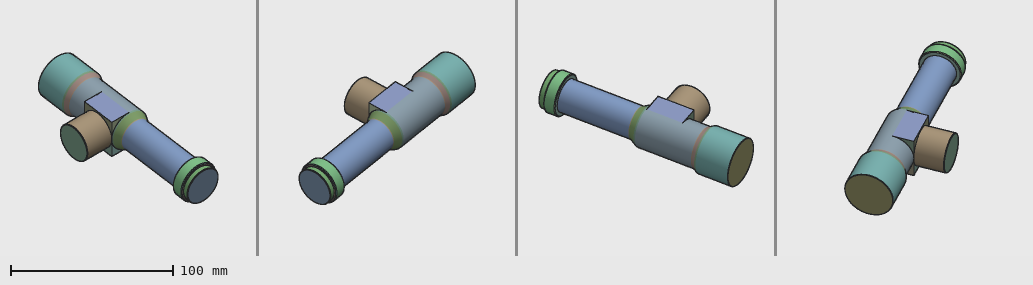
import cadquery as cq

total_length = 136.6

socket_radius = 16.0
body_radius = 14.1
tube_radius = 11.0
collar_radius = body_radius
end_ring_radius = 12.7

socket_end = 23.5
socket_taper_end = 26.9
body_end = 67.8
body_taper_end = 73.2
collar_start = 124.3
collar_end = 132.5

socket_face_chamfer = 0.3
outer_blend_radius = 2.5
inner_blend_radius = 1.1
collar_chamfer = 0.5
end_ring_chamfer = 0.4

selection_margin = 0.1

branch_diameter = 25.7
branch_center_x = 54.2
branch_reach = 34.0
branch_chamfer = 0.4
block_height = 2 * body_radius


def frustum(start, end, start_radius, end_radius):
    """Solid of revolution about X between two stations."""
    profile = [(start, 0), (start, start_radius), (end, end_radius), (end, 0)]
    return cq.Workplane("XY").polyline(profile).close().revolve(360, (0, 0, 0), (1, 0, 0))


def cylinder(start, end, radius):
    return frustum(start, end, radius, radius)


def make_tapered_body():
    """Socket, body and tube joined by two blended tapers."""
    body = cylinder(0, socket_end, socket_radius)
    body = body.union(frustum(socket_end, socket_taper_end, socket_radius, body_radius))
    body = body.union(cylinder(socket_taper_end, body_end, body_radius))
    body = body.union(frustum(body_end, body_taper_end, body_radius, tube_radius))
    body = body.union(cylinder(body_taper_end, collar_start, tube_radius))
    blends = [
        (socket_end, outer_blend_radius),
        (socket_taper_end, inner_blend_radius),
        (body_end, outer_blend_radius),
        (body_taper_end, inner_blend_radius),
    ]
    for station, blend_radius in blends:
        ring = cq.selectors.BoxSelector(
            (station - selection_margin, -socket_radius, -socket_radius),
            (station + selection_margin, socket_radius, socket_radius),
        )
        body = body.edges(ring).edges("%CIRCLE").fillet(blend_radius)
    return body.faces("<X").edges().chamfer(socket_face_chamfer)


def make_ringed_end():
    """Collar with broken corners, followed by a smaller end ring."""
    collar = cylinder(collar_start, collar_end, collar_radius)
    collar = collar.edges("%CIRCLE").chamfer(collar_chamfer)
    end_ring = cylinder(collar_end, total_length, end_ring_radius)
    end_ring = end_ring.edges("%CIRCLE").chamfer(end_ring_chamfer)
    return collar.union(end_ring)


def make_branch():
    """Flat-sided block and the round stub that leaves it."""
    block = cq.Workplane("XY").box(
        branch_diameter, body_radius, block_height, centered=(True, False, True)
    )
    block = block.translate((branch_center_x, -body_radius, 0))
    stub = (
        cq.Workplane("XZ")
        .center(branch_center_x, 0)
        .circle(branch_diameter / 2)
        .extrude(branch_reach)
        .faces("<Y")
        .edges()
        .chamfer(branch_chamfer)
    )
    return block.union(stub)


result = make_tapered_body().union(make_ringed_end()).union(make_branch())